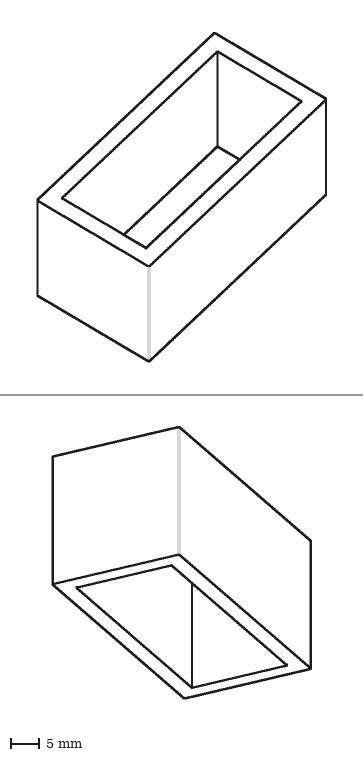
import cadquery as cq

width = 25.4
length = 2 * width
height = width

wall = 3.175
corner_radius = 0.254


def outer_block():
    """Solid block with its upright corners slightly rounded."""
    block = cq.Workplane("XY").box(width, length, height)
    return block.edges("|Z").fillet(corner_radius)


def through_opening():
    """Sharp-cornered rectangular opening running the full height."""
    return cq.Workplane("XY").box(width - 2 * wall, length - 2 * wall, height)


result = outer_block().cut(through_opening())